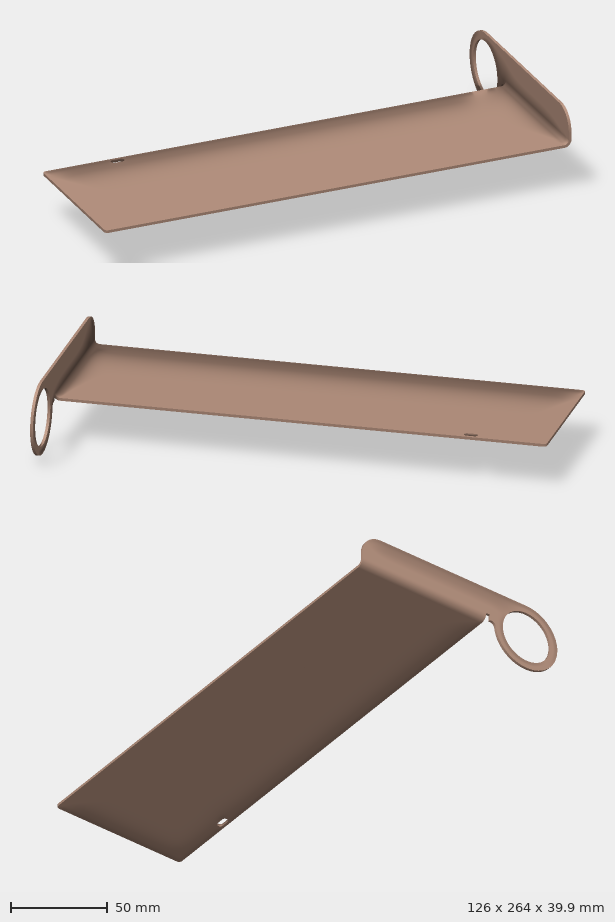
import cadquery as cq
import math

sheet = 1.5
length = 264.0
plate_width = 80.0
plate_top = 1.27
plate_corner_radius = 1.98

bend_inner_radius = 2.5

ring_outer_diameter = 39.9
ring_hole_radius = 15.3
overall_width = 126.0
flange_corner_radius = 12.0

relief_width = 2.5
neck_bottom = 0.3
neck_fillet_radius = 2.6

slot_width = 3.5
slot_length = 7.5
slot_corner_radius = 1.5
slot_side_offset = 1.5
slot_front_offset = 37.5

ring_outer_radius = ring_outer_diameter / 2
bend_outer_radius = bend_inner_radius + sheet
right_x = overall_width - ring_outer_radius
plate_left_x = right_x - plate_width
relief_left_x = plate_left_x - relief_width
plate_bottom = plate_top - sheet
bend_top = plate_top + bend_inner_radius
flange_front_y = -sheet
bend_front_y = flange_front_y - bend_inner_radius
front_y = -length


def make_flange():
    """Upright tab with the ring at its left end, thickness along Y from 0 to -sheet."""
    fillet_z = neck_bottom - neck_fillet_radius
    fillet_reach = ring_outer_radius + neck_fillet_radius
    fillet_x = math.sqrt(fillet_reach**2 - fillet_z**2)
    ring_share = ring_outer_radius / fillet_reach
    ring_touch = (fillet_x * ring_share, fillet_z * ring_share)
    middle_angle = (math.pi / 2 + math.atan2(-fillet_z, -fillet_x)) / 2
    fillet_middle = (
        fillet_x + neck_fillet_radius * math.cos(middle_angle),
        fillet_z + neck_fillet_radius * math.sin(middle_angle),
    )
    corner_middle = flange_corner_radius * (1 - math.sqrt(0.5))

    return (
        cq.Workplane("XZ")
        .moveTo(0, ring_outer_radius)
        .lineTo(right_x - flange_corner_radius, ring_outer_radius)
        .threePointArc(
            (right_x - corner_middle, ring_outer_radius - corner_middle),
            (right_x, ring_outer_radius - flange_corner_radius),
        )
        .lineTo(right_x, bend_top)
        .lineTo(relief_left_x, bend_top)
        .lineTo(relief_left_x, neck_bottom)
        .lineTo(fillet_x, neck_bottom)
        .threePointArc(fillet_middle, ring_touch)
        .threePointArc((-ring_outer_radius, 0), (0, ring_outer_radius))
        .close()
        .moveTo(0, 0)
        .circle(ring_hole_radius)
        .extrude(sheet)
    )


def make_bend():
    """Quarter-round fold between the plate and the flange."""
    diagonal = math.sqrt(0.5)
    outer_offset = bend_outer_radius * diagonal
    inner_offset = bend_inner_radius * diagonal
    outer_middle = (bend_front_y + outer_offset, bend_top - outer_offset)
    inner_middle = (bend_front_y + inner_offset, bend_top - inner_offset)
    return (
        cq.Workplane("YZ", origin=(plate_left_x, 0, 0))
        .moveTo(0, bend_top)
        .threePointArc(outer_middle, (bend_front_y, plate_bottom))
        .lineTo(bend_front_y, plate_top)
        .threePointArc(inner_middle, (flange_front_y, bend_top))
        .close()
        .extrude(plate_width)
    )


def make_plate():
    """Flat plate with rounded front corners."""
    return (
        cq.Workplane("XY", origin=(plate_left_x, front_y, plate_bottom))
        .rect(plate_width, bend_front_y - front_y, centered=False)
        .extrude(sheet)
        .edges("|Z and <Y")
        .fillet(plate_corner_radius)
    )


def make_slot():
    """Cutter for the small rounded slot near the front left corner of the plate."""
    slot_origin = (plate_left_x + slot_side_offset, front_y + slot_front_offset, plate_bottom)
    return (
        cq.Workplane("XY", origin=slot_origin)
        .rect(slot_width, slot_length, centered=False)
        .extrude(sheet)
        .edges("|Z")
        .fillet(slot_corner_radius)
    )


result = make_flange().union(make_bend()).union(make_plate()).cut(make_slot())